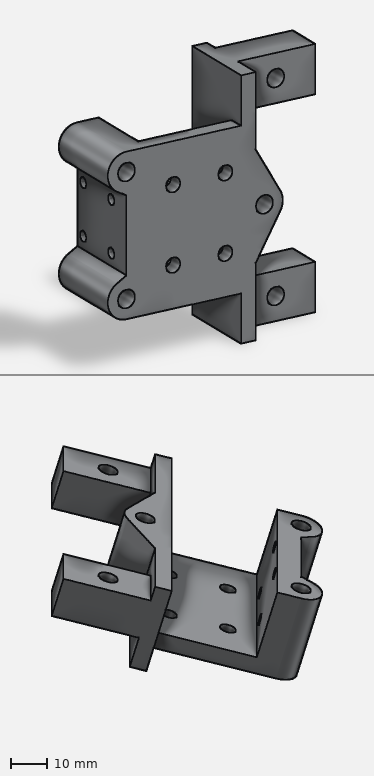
import cadquery as cq
import math

width = 26.0
height = 80.0
plate_thickness = 4.8

arm_reach = 29.9
arm_width = 12.1
arm_offset = 4.5
arm_height = 15.0
arm_hole_y = 17.0

rib_hole_y = 7.6
rib_tip_radius = 6.0
rib_slope = math.radians(60)

web_thickness = 5.0
web_height = 50.0
web_hole_diameter = 4.6
web_hole_ys = (-5.1, -22.1)
web_hole_z = 12.0

wall_inner_y = -30.4
lug_y = -37.3
lug_radius = 6.1
lug_slope = math.radians(30)
wall_hole_diameter = 3.2
wall_hole_xs = (3.0, 17.9)
wall_hole_z = 8.0

pin_hole_diameter = 5.5

web_top = web_height / 2
lug_z = web_top - lug_radius
arm_z = (height - arm_height) / 2


def block(x, y, z, x_size, y_size, z_size):
    """Box starting at x and y, centred vertically on z."""
    return cq.Workplane("XY").box(x_size, y_size, z_size, (False, False, True)).translate((x, y, z))


def cross_holes(places, diameter):
    """Cylinders along X through the full width at the given (y, z) places."""
    return cq.Workplane("YZ").pushPoints(places).circle(diameter / 2).extrude(width)


def rear_rib():
    """Rib whose sloping flanks are tangent to its rounded tip."""
    tangent_y = rib_hole_y + rib_tip_radius * math.sin(rib_slope)
    tangent_z = rib_tip_radius * math.cos(rib_slope)
    base_z = tangent_z + (tangent_y - plate_thickness) * math.tan(rib_slope)
    return (
        cq.Workplane("YZ")
        .moveTo(plate_thickness, base_z)
        .lineTo(tangent_y, tangent_z)
        .threePointArc((rib_hole_y + rib_tip_radius, 0), (tangent_y, -tangent_z))
        .lineTo(plate_thickness, -base_z)
        .close()
        .extrude(width)
    )


def front_lug():
    """Upper lug: an arc running into a tangent flank that meets the wall."""
    tangent_y = lug_y - lug_radius * math.sin(lug_slope)
    tangent_z = lug_z - lug_radius * math.cos(lug_slope)
    root_z = lug_z - lug_radius / math.cos(lug_slope)
    return (
        cq.Workplane("YZ")
        .moveTo(lug_y, web_top)
        .threePointArc((lug_y - lug_radius, lug_z), (tangent_y, tangent_z))
        .lineTo(lug_y, root_z)
        .close()
        .extrude(width)
    )


body = block(0, 0, 0, width, plate_thickness, height)
body = body.union(rear_rib())
body = body.union(block(width - web_thickness, lug_y, 0, web_thickness, -lug_y, web_height))
body = body.union(block(0, lug_y, 0, width, wall_inner_y - lug_y, web_height))

for side in (1, -1):
    body = body.union(block(arm_offset, 0, side * arm_z, arm_width, arm_reach, arm_height))
upper_lug = front_lug()
body = body.union(upper_lug).union(upper_lug.mirror("XY"))

pin_places = [(rib_hole_y, 0)]
for side in (1, -1):
    pin_places.append((arm_hole_y, side * arm_z))
    pin_places.append((lug_y, side * lug_z))
body = body.cut(cross_holes(pin_places, pin_hole_diameter))

web_places = [(y, side * web_hole_z) for y in web_hole_ys for side in (1, -1)]
body = body.cut(cross_holes(web_places, web_hole_diameter))

wall_places = [(x, side * wall_hole_z) for x in wall_hole_xs for side in (1, -1)]
wall_holes = (
    cq.Workplane("XZ", origin=(0, wall_inner_y, 0))
    .pushPoints(wall_places)
    .circle(wall_hole_diameter / 2)
    .extrude(wall_inner_y - lug_y)
)
result = body.cut(wall_holes)